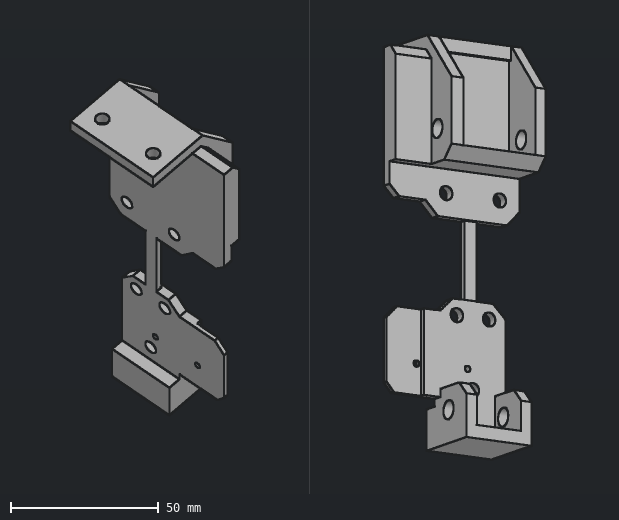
import cadquery as cq

HEIGHT = 141.6
WIDTH = 52.0
DEPTH = 40.5

PLATE_FRONT = 20.0
PLATE_BACK = 23.8

FLANGE_THICKNESS = 5.0
UPPER_BOX_RIGHT = 37.7
UPPER_BOX_BOTTOM = 96.3
ROOF_BACK = 25.1
ROOF_DROP = 17.3
UPPER_LEFT_WALL = 4.2
UPPER_RIGHT_WALL = 4.7
UPPER_PANEL_BOTTOM = 79.6
UPPER_TAB_BOTTOM = 84.7
UPPER_CORNER_X = 5.0
UPPER_TAB_CHAMFER = 3.8

TAB_TOP_BACK = 24.4
TAB_BACK = 27.8
TAB_SLOPE_DROP = 3.8

ARM_LEFT = 16.3
ARM_WIDTH = 5.0
ARM_BACK = 22.5

LOWER_LEFT = 5.7
LOWER_BOX_RIGHT = 31.7
LOWER_PANEL_TOP = 51.8
LOWER_TAB_TOP = 47.0
LOWER_TAB_BOTTOM = 17.0
LOWER_CORNER_X = 5.0
LOWER_TAB_CHAMFER = 4.2
LOWER_TAB_FOOT_CHAMFER = (3.0, 3.4)
THIN_TAB_LEFT = 38.2
THIN_TAB_BACK = 21.8
LOWER_BOX_TOP = 19.8
NOSE_FRONT = 14.9
NOSE_TOP = 14.5
LOWER_WALL = 4.2

BOX_CHAMFER = 4.7
FLOOR_THICKNESS = BOX_CHAMFER

SCREW_DIAMETER = 4.8
PIN_DIAMETER = 2.1
CROSS_DIAMETER = 6.5
FLANGE_HOLES = [(7.5, 8.0), (30.6, 8.0)]
SCREW_HOLES = [
    (8.0, 88.0),
    (29.3, 88.0),
    (12.2, 46.2),
    (25.1, 46.2),
    (18.7, 21.0),
]
PIN_HOLES = [(20.8, 28.0), (40.0, 28.0)]
CROSS_HOLES = [(31.5, 108.0), (29.0, 11.6)]

FLANGE_BOTTOM = HEIGHT - FLANGE_THICKNESS


def box(x0, x1, y0, y1, z0, z1):
    """Axis-aligned block between two corners."""
    return cq.Workplane("XY").box(x1 - x0, y1 - y0, z1 - z0, centered=False).translate((x0, y0, z0))


def extrude_in_y(outline, y0, y1):
    """Extrude an (x, z) outline from y0 back to y1."""
    return cq.Workplane("XZ", origin=(0, y0, 0)).polyline(outline).close().extrude(y0 - y1)


def extrude_in_x(outline, x0, x1):
    """Extrude a (y, z) outline from x0 to x1."""
    return cq.Workplane("YZ", origin=(x0, 0, 0)).polyline(outline).close().extrude(x1 - x0)


def upper_panel():
    """Plate below the flange, with a chamfered tab on the right."""
    outline = [
        (0, FLANGE_BOTTOM),
        (WIDTH, FLANGE_BOTTOM),
        (WIDTH, UPPER_TAB_BOTTOM + UPPER_TAB_CHAMFER),
        (WIDTH - UPPER_TAB_CHAMFER, UPPER_TAB_BOTTOM),
        (UPPER_BOX_RIGHT, UPPER_TAB_BOTTOM),
        (UPPER_BOX_RIGHT - UPPER_CORNER_X, UPPER_PANEL_BOTTOM),
        (UPPER_CORNER_X, UPPER_PANEL_BOTTOM),
        (0, UPPER_TAB_BOTTOM),
    ]
    return extrude_in_y(outline, PLATE_FRONT, PLATE_BACK)


def upper_box():
    """Flange and sloping box in one profile, with the box hollowed from the back."""
    profile = [
        (0, HEIGHT),
        (ROOF_BACK, HEIGHT),
        (DEPTH, HEIGHT - ROOF_DROP),
        (DEPTH, UPPER_BOX_BOTTOM + BOX_CHAMFER),
        (DEPTH - BOX_CHAMFER, UPPER_BOX_BOTTOM),
        (PLATE_FRONT, UPPER_BOX_BOTTOM),
        (PLATE_FRONT, FLANGE_BOTTOM),
        (0, FLANGE_BOTTOM),
    ]
    cavity_outline = [
        (PLATE_BACK, UPPER_BOX_BOTTOM + FLOOR_THICKNESS),
        (DEPTH, UPPER_BOX_BOTTOM + FLOOR_THICKNESS),
        (DEPTH, HEIGHT),
        (ROOF_BACK, HEIGHT),
        (ROOF_BACK, FLANGE_BOTTOM),
        (PLATE_BACK, FLANGE_BOTTOM),
    ]
    cavity = extrude_in_x(cavity_outline, UPPER_LEFT_WALL, UPPER_BOX_RIGHT - UPPER_RIGHT_WALL)
    return extrude_in_x(profile, 0, UPPER_BOX_RIGHT).cut(cavity)


def upper_tab_pad():
    """Thicker tab beside the upper box, sloping at the back of its top."""
    profile = [
        (PLATE_FRONT, UPPER_BOX_BOTTOM),
        (TAB_BACK, UPPER_BOX_BOTTOM),
        (TAB_BACK, FLANGE_BOTTOM - TAB_SLOPE_DROP),
        (TAB_TOP_BACK, FLANGE_BOTTOM),
        (PLATE_FRONT, FLANGE_BOTTOM),
    ]
    return extrude_in_x(profile, UPPER_BOX_RIGHT, WIDTH)


def arm():
    """Slim bar between the panels, flush with their front."""
    return box(ARM_LEFT, ARM_LEFT + ARM_WIDTH, PLATE_FRONT, ARM_BACK, LOWER_PANEL_TOP, UPPER_PANEL_BOTTOM)


def lower_panel():
    """Plate around the lower screw holes, with the outer end of its tab thinned from the back."""
    foot_chamfer_x, foot_chamfer_z = LOWER_TAB_FOOT_CHAMFER
    outline = [
        (LOWER_LEFT, 0),
        (LOWER_LEFT, LOWER_TAB_TOP),
        (LOWER_LEFT + LOWER_CORNER_X, LOWER_PANEL_TOP),
        (LOWER_BOX_RIGHT - LOWER_CORNER_X, LOWER_PANEL_TOP),
        (LOWER_BOX_RIGHT, LOWER_TAB_TOP),
        (WIDTH - LOWER_TAB_CHAMFER, LOWER_TAB_TOP),
        (WIDTH, LOWER_TAB_TOP - LOWER_TAB_CHAMFER),
        (WIDTH, LOWER_TAB_BOTTOM + foot_chamfer_z),
        (WIDTH - foot_chamfer_x, LOWER_TAB_BOTTOM),
        (LOWER_BOX_RIGHT, LOWER_TAB_BOTTOM),
        (LOWER_BOX_RIGHT, 0),
    ]
    recess = box(THIN_TAB_LEFT, WIDTH, THIN_TAB_BACK, PLATE_BACK, LOWER_TAB_BOTTOM, LOWER_TAB_TOP)
    return extrude_in_y(outline, PLATE_FRONT, PLATE_BACK).cut(recess)


def lower_box():
    """Box at the foot with a nose at the front, hollowed from the back."""
    profile = [
        (NOSE_FRONT, 0),
        (DEPTH, 0),
        (DEPTH, LOWER_BOX_TOP - BOX_CHAMFER),
        (DEPTH - BOX_CHAMFER, LOWER_BOX_TOP),
        (PLATE_FRONT, LOWER_BOX_TOP),
        (PLATE_FRONT, NOSE_TOP),
        (NOSE_FRONT, NOSE_TOP),
    ]
    cavity = box(
        LOWER_LEFT + LOWER_WALL, LOWER_BOX_RIGHT - LOWER_WALL,
        PLATE_BACK, DEPTH,
        FLOOR_THICKNESS, LOWER_BOX_TOP,
    )
    return extrude_in_x(profile, LOWER_LEFT, LOWER_BOX_RIGHT).cut(cavity)


def holes_along(plane, points, diameter, length):
    """Round cutters at the given points, running the given length through the part."""
    return cq.Workplane(plane).pushPoints(points).circle(diameter / 2).extrude(length)


result = upper_panel()
for piece in (upper_box(), upper_tab_pad(), arm(), lower_panel(), lower_box()):
    result = result.union(piece)

for cutter in (
    holes_along("XY", FLANGE_HOLES, SCREW_DIAMETER, HEIGHT),
    holes_along("XZ", SCREW_HOLES, SCREW_DIAMETER, -PLATE_BACK),
    holes_along("XZ", PIN_HOLES, PIN_DIAMETER, -PLATE_BACK),
    holes_along("YZ", CROSS_HOLES, CROSS_DIAMETER, WIDTH),
):
    result = result.cut(cutter)